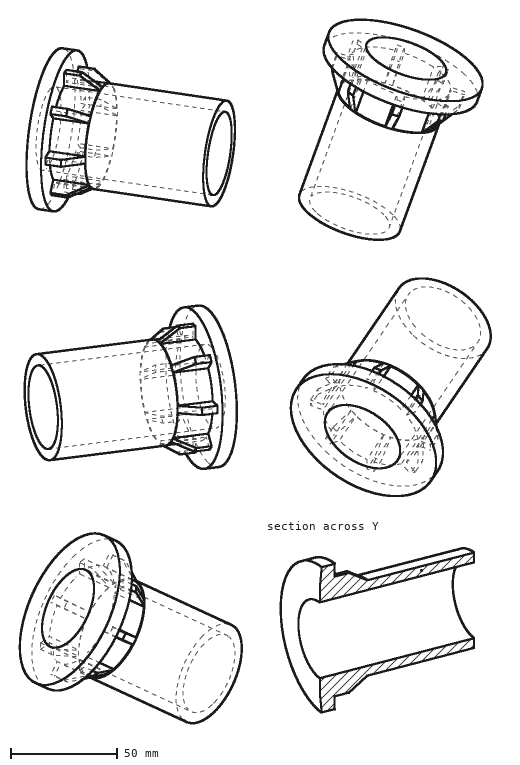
import cadquery as cq

length = 84.0
flange_diameter = 76.7
flange_radius = flange_diameter / 2
tube_radius = 25.2
neck_radius = 25.0
bore_radius = 19.8
bore_mouth_radius = 19.9
bore_mouth_depth = 1.0

flange_back = 8.2
face_radius = 28.05
face_cone_depth = 1.0

rib_count = 8
rib_width = 3.7
rib_radius = 31.6
rib_flat_end = 16.0
rib_end = 25.95
neck_cone_length = 0.25
rib_root_radius = (tube_radius + bore_radius) / 2


def flanged_tube():
    """Half section in the XY plane, revolved about X."""
    return (
        cq.Workplane("XY")
        .moveTo(0, bore_mouth_radius)
        .lineTo(0, face_radius)
        .lineTo(face_cone_depth, flange_radius)
        .lineTo(flange_back, flange_radius)
        .lineTo(flange_back, neck_radius)
        .lineTo(rib_end - neck_cone_length, neck_radius)
        .lineTo(rib_end, tube_radius)
        .lineTo(length, tube_radius)
        .lineTo(length, bore_radius)
        .lineTo(bore_mouth_depth, bore_radius)
        .close()
        .revolve(360, (0, 0, 0), (1, 0, 0))
    )


def rib(angle):
    """Radial rib that tapers down to the tube surface."""
    return (
        cq.Workplane("XZ")
        .moveTo(flange_back, rib_root_radius)
        .lineTo(flange_back, rib_radius)
        .lineTo(rib_flat_end, rib_radius)
        .lineTo(rib_end, tube_radius)
        .lineTo(rib_end, rib_root_radius)
        .close()
        .extrude(rib_width / 2, both=True)
        .rotate((0, 0, 0), (1, 0, 0), angle)
    )


result = flanged_tube()
for index in range(rib_count):
    result = result.union(rib(index * 360 / rib_count))